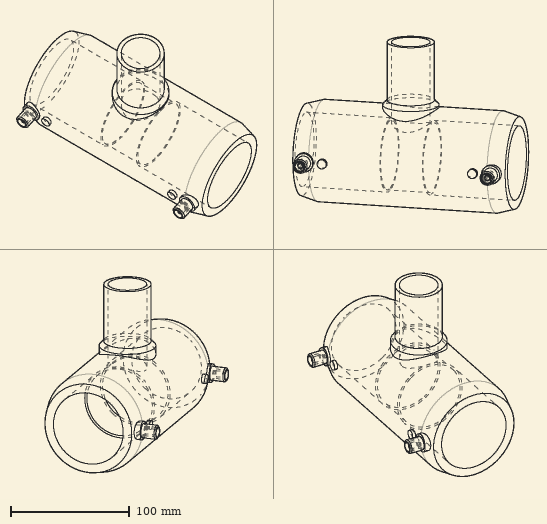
import cadquery as cq

overall_depth = 102.0
overall_height = 143.0

sleeve_length = 185.5
sleeve_diameter = 87.0
sleeve_end_diameter = 78.7
taper_length = 14.8
socket_diameter = 63.0
stop_diameter = 59.2
stop_width = 37.1

branch_diameter = 40.0
branch_bore_diameter = 32.6
collar_diameter = 48.0
collar_top = 49.0

terminal_offset = 81.6
terminal_diameter = 12.0
terminal_chamfer = 1.1
terminal_bore_diameter = 8.0
terminal_bore_depth = 11.1
contact_diameter = 5.0
contact_chamfer = 0.5
contact_recess = 2.2
flange_diameter = 16.0
flange_height = 2.2

stud_offset = 65.7
stud_diameter = 8.0
stud_height = 2.8

sleeve_radius = sleeve_diameter / 2
branch_top = overall_height - sleeve_radius
terminal_reach = overall_depth - sleeve_radius
root_radius = (sleeve_radius + socket_diameter / 2) / 2


def x_cylinder(diameter, length):
    """Cylinder on the X axis, centred on the origin."""
    return cq.Workplane("YZ").circle(diameter / 2).extrude(length / 2, both=True)


def front_cylinder(x, diameter, start, end):
    """Cylinder along -Y at position x, between two distances from the sleeve axis."""
    plane = cq.Workplane("XZ", origin=(x, -start, 0))
    return plane.circle(diameter / 2).extrude(end - start)


def make_sleeve():
    """Sleeve blank with conical ends."""
    half_length = sleeve_length / 2
    end_radius = sleeve_end_diameter / 2
    profile = [
        (-half_length, 0),
        (-half_length, end_radius),
        (-half_length + taper_length, sleeve_radius),
        (half_length - taper_length, sleeve_radius),
        (half_length, end_radius),
        (half_length, 0),
    ]
    return cq.Workplane("XY").polyline(profile).close().revolve(360, (0, 0, 0), (1, 0, 0))


def make_branch():
    """Branch pipe with a bevelled collar at its foot."""
    collar_radius = collar_diameter / 2
    branch_radius = branch_diameter / 2
    shoulder = collar_top - (collar_radius - branch_radius)
    profile = [
        (0, 0),
        (collar_radius, 0),
        (collar_radius, shoulder),
        (branch_radius, collar_top),
        (branch_radius, branch_top),
        (0, branch_top),
    ]
    return cq.Workplane("XZ").polyline(profile).close().revolve(360, (0, 0, 0), (0, 1, 0))


def make_sleeve_bore():
    """Two sockets separated by a narrower central stop."""
    socket_length = (sleeve_length - stop_width) / 2
    bore = x_cylinder(stop_diameter, sleeve_length)
    for side in (-1, 1):
        socket = cq.Workplane("YZ", origin=(side * sleeve_length / 2, 0, 0))
        bore = bore.union(socket.circle(socket_diameter / 2).extrude(-side * socket_length))
    return bore


def make_terminal(x):
    """Flanged hollow terminal with a contact pin inside."""
    flange = front_cylinder(x, flange_diameter, root_radius, terminal_reach)
    flange = flange.intersect(x_cylinder(sleeve_diameter + 2 * flange_height, sleeve_length))
    shroud = front_cylinder(x, terminal_diameter, root_radius, terminal_reach)
    shroud = shroud.faces("<Y").chamfer(terminal_chamfer)
    bore_bottom = terminal_reach - terminal_bore_depth
    bore = front_cylinder(x, terminal_bore_diameter, bore_bottom, terminal_reach)
    contact = front_cylinder(x, contact_diameter, root_radius, terminal_reach - contact_recess)
    contact = contact.faces("<Y").chamfer(contact_chamfer)
    return flange.union(shroud).cut(bore).union(contact)


result = make_sleeve().union(make_branch()).cut(make_sleeve_bore())
result = result.cut(cq.Workplane("XY").circle(branch_bore_diameter / 2).extrude(branch_top))
stud_end = sleeve_radius + stud_height
for side in (-1, 1):
    result = result.union(make_terminal(side * terminal_offset))
    result = result.union(front_cylinder(side * stud_offset, stud_diameter, root_radius, stud_end))